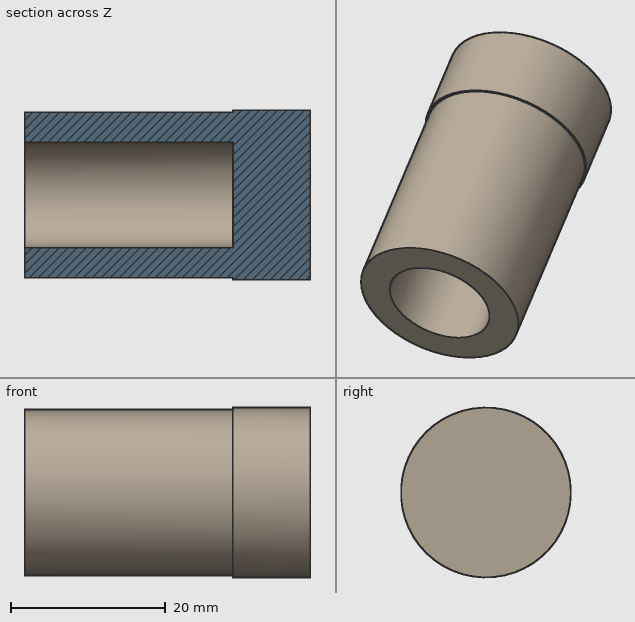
import cadquery as cq

total_length = 37.0
collar_length = 10.03
collar_diameter = 22.0
body_diameter = 21.5
bore_diameter = 13.6

body_length = total_length - collar_length
bore_depth = body_length


def cylinder_along_x(start, length, diameter):
    """Solid cylinder on the X axis, growing toward +X from start."""
    return cq.Workplane("YZ", origin=(start, 0, 0)).circle(diameter / 2).extrude(length)


body = cylinder_along_x(0, body_length, body_diameter)
collar = cylinder_along_x(body_length, collar_length, collar_diameter)

bore = cylinder_along_x(0, bore_depth, bore_diameter)

result = body.union(collar).cut(bore)